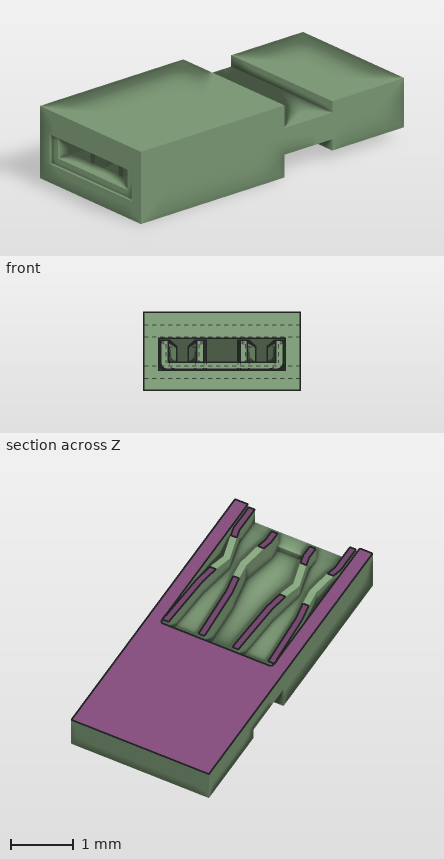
import cadquery as cq

LENGTH = 5.5
WIDTH = 2.5
HEIGHT = 1.25
FRONT_LENGTH = 3.0
NECK_LENGTH = 1.0
NECK_HEIGHT = 0.46
REAR_HEIGHT = 0.85

CAVITY_WIDTH = 2.025
CAVITY_HEIGHT = 0.51
CAVITY_CENTER_Z = -0.045
CAVITY_DEPTH = 2.94
CAVITY_CORNER_RADIUS = 0.05

CONTACT_SETBACK = 0.05
CONTACT_WIDTH = 1.95
CONTACT_HEIGHT = 0.46
CONTACT_CLEARANCE = 0.015
SIDE_WALL = 0.115
FLOOR = 0.11
BOTTOM_RADIUS = 0.09
CHANNEL_LENGTH = 0.29

FORK_PITCH = 1.265
STRAIGHT_LENGTH = 0.22
LEAN_LENGTH = 0.585
SPREAD_LENGTH = 0.69
SPREAD_PER_SIDE = 0.115
FLARE_LENGTH = 0.96
TAIL_LENGTH = 0.08
THROAT_WIDTH = 0.185

DIP_DEPTH = 0.105

cavity_floor_z = CAVITY_CENTER_Z - CAVITY_HEIGHT / 2
contact_bottom_z = cavity_floor_z + CONTACT_CLEARANCE
contact_top_z = contact_bottom_z + CONTACT_HEIGHT
floor_top_z = contact_bottom_z + FLOOR

fork_width = CONTACT_WIDTH - FORK_PITCH
throat_outer_width = THROAT_WIDTH + 2 * SIDE_WALL
spread_width = throat_outer_width + 2 * SPREAD_PER_SIDE
tail_width = CAVITY_WIDTH - FORK_PITCH

channel_end_y = CONTACT_SETBACK + CHANNEL_LENGTH
lean_start_y = channel_end_y + STRAIGHT_LENGTH
throat_y = lean_start_y + LEAN_LENGTH
spread_end_y = throat_y + SPREAD_LENGTH
flare_end_y = spread_end_y + FLARE_LENGTH
tail_end_y = flare_end_y + TAIL_LENGTH


def make_housing():
    neck_end_y = FRONT_LENGTH + NECK_LENGTH
    upper_edge = [
        (0, HEIGHT / 2),
        (FRONT_LENGTH, HEIGHT / 2),
        (FRONT_LENGTH, NECK_HEIGHT / 2),
        (neck_end_y, NECK_HEIGHT / 2),
        (neck_end_y, REAR_HEIGHT / 2),
        (LENGTH, REAR_HEIGHT / 2),
    ]
    lower_edge = [(y, -z) for y, z in reversed(upper_edge)]
    body = cq.Workplane("YZ").polyline(upper_edge + lower_edge).close().extrude(WIDTH / 2, both=True)
    cavity = (
        cq.Workplane("XY")
        .box(CAVITY_WIDTH, CAVITY_DEPTH, CAVITY_HEIGHT, centered=(True, False, True))
        .translate((0, 0, CAVITY_CENTER_Z))
        .edges("|Z and >Y")
        .fillet(CAVITY_CORNER_RADIUS)
    )
    return body.cut(cavity)


def fork_prism(center_x, inset, base_z):
    """Prism over the waisted plan of one fork, with its sides moved in by inset."""
    right_side = [
        (fork_width / 2 - inset, channel_end_y),
        (fork_width / 2 - inset, lean_start_y),
        (throat_outer_width / 2 - inset, throat_y),
        (spread_width / 2 - inset, spread_end_y),
        (tail_width / 2 - inset, flare_end_y),
        (tail_width / 2 - inset, tail_end_y),
    ]
    left_side = [(-x, y) for x, y in reversed(right_side)]
    return (
        cq.Workplane("XY", origin=(center_x, 0, base_z))
        .polyline(right_side + left_side)
        .close()
        .extrude(contact_top_z - base_z)
    )


def channel_box(width, base_z):
    return (
        cq.Workplane("XY", origin=(0, CONTACT_SETBACK, base_z))
        .box(width, CHANNEL_LENGTH, contact_top_z - base_z, centered=(True, False, False))
    )


def top_dip():
    """Cutter, across the whole width, for the dip in the wall tops."""
    return (
        cq.Workplane("YZ")
        .moveTo(channel_end_y, contact_top_z)
        .lineTo(throat_y, contact_top_z - DIP_DEPTH)
        .lineTo(spread_end_y, contact_top_z)
        .close()
        .extrude(CAVITY_WIDTH / 2, both=True)
    )


def make_contact():
    fork_centers = [-FORK_PITCH / 2, FORK_PITCH / 2]
    outside = channel_box(CONTACT_WIDTH, contact_bottom_z)
    inside = channel_box(CONTACT_WIDTH - 2 * SIDE_WALL, floor_top_z)
    for center_x in fork_centers:
        outside = outside.union(fork_prism(center_x, 0, contact_bottom_z))
        inside = inside.union(fork_prism(center_x, SIDE_WALL, floor_top_z))

    outer_bottom_edges = outside.faces("<Z").edges().filter(
        lambda edge: abs(edge.Center().x) > FORK_PITCH / 2 and abs(edge.tangentAt(0.5).y) > 0.5
    )
    return outer_bottom_edges.fillet(BOTTOM_RADIUS).cut(inside).cut(top_dip())


housing = make_housing()
contact = make_contact()
result = cq.Compound.makeCompound([housing.val(), contact.val()])